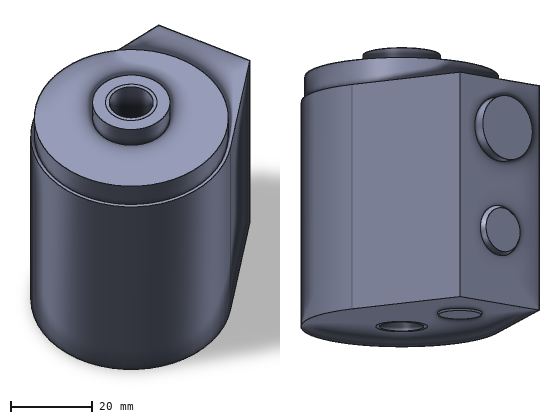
import cadquery as cq
import math


barrel_radius = 24.75
back_y = 37.2
back_width = 25.6
case_height = 56.4

cap_diameter = 47.75
cap_height = 6.3
hub_diameter = 19.05
hub_height = 5.41

round_boss_diameter = 16.0
round_boss_height = 3.0
round_boss_z = 43.7
button_diameter = 12.5
button_height = 1.3
button_z = 18.3

foot_diameter = 11.0
foot_height = 0.5
foot_y = 22.1

side_taper = 30

sleeve_outer_diameter = 12.7
sleeve_inner_diameter = 10.8

cap_top = case_height + cap_height
hub_top = cap_top + hub_height


def tangent_point():
    """Point on the +X side of the barrel where the straight side meets it tangentially."""
    corner_x = back_width / 2
    corner_distance = math.hypot(corner_x, back_y)
    corner_angle = math.atan2(back_y, corner_x)
    angle = corner_angle - math.acos(barrel_radius / corner_distance)
    return barrel_radius * math.cos(angle), barrel_radius * math.sin(angle)


def make_case():
    side_x, side_y = tangent_point()
    return (
        cq.Workplane("XY")
        .moveTo(-back_width / 2, back_y)
        .lineTo(-side_x, side_y)
        .threePointArc((0, -barrel_radius), (side_x, side_y))
        .lineTo(back_width / 2, back_y)
        .close()
        .extrude(case_height)
    )


def make_disc(diameter, bottom, top):
    """Upright disc on the bore axis."""
    return cq.Workplane("XY", origin=(0, 0, bottom)).circle(diameter / 2).extrude(top - bottom)


def make_back_boss(diameter, height, z, taper=0):
    """Round boss standing on the flat back, narrowing along +Y by the taper angle."""
    return cq.Workplane("XZ", origin=(0, back_y, z)).circle(diameter / 2).extrude(-height, taper=taper)


def make_foot():
    """Pad narrowing downward."""
    top_circle = cq.Workplane("XY", origin=(0, foot_y, 0)).circle(foot_diameter / 2)
    return top_circle.extrude(-foot_height, taper=side_taper)


def make_housing():
    cap = make_disc(cap_diameter, case_height, cap_top)
    hub = make_disc(hub_diameter, cap_top, hub_top)
    round_boss = make_back_boss(round_boss_diameter, round_boss_height, round_boss_z)
    button = make_back_boss(button_diameter, button_height, button_z, side_taper)
    sleeve_hole = make_disc(sleeve_outer_diameter, 0, hub_top)
    solid = make_case().union(cap).union(hub).union(round_boss).union(button).union(make_foot())
    return solid.cut(sleeve_hole)


def make_sleeve():
    """Plain tube filling the hole in the housing, flush at both ends."""
    return (
        cq.Workplane("XY")
        .circle(sleeve_outer_diameter / 2)
        .circle(sleeve_inner_diameter / 2)
        .extrude(hub_top)
    )


housing = make_housing()
sleeve = make_sleeve()

result = cq.Compound.makeCompound([housing.val(), sleeve.val()])